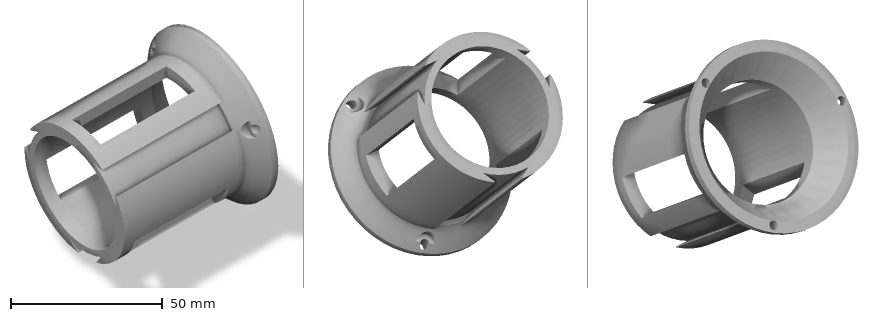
import cadquery as cq
import math

TOTAL_LENGTH = 60.0
FLANGE_DIAMETER = 65.0
RIM_THICKNESS = 2.5
CONE_SMALL_DIAMETER = 50.0
SLEEVE_DIAMETER = 52.0
BORE_DIAMETER = 42.0

FEATURE_COUNT = 3
PITCH_ANGLE = 360.0 / FEATURE_COUNT

FIRST_SCREW_ANGLE = 30.0
SCREW_CIRCLE_RADIUS = 30.0
SCREW_DIAMETER = 3.2
SCREW_HEAD_DIAMETER = 6.5
SCREW_SEAT_HEIGHT = 5.2

FIRST_WINDOW_ANGLE = 90.0
WINDOW_WIDTH = 15.0
WINDOW_LENGTH = 40.0
WINDOW_START = 15.0

FIRST_GROOVE_ANGLE = 45.0
GROOVE_FLOOR_DIAMETER = 46.8
GROOVE_NECK_WIDTH = 10.0
GROOVE_FLANK_OFFSET = 21.4

CONE_HEIGHT = (FLANGE_DIAMETER - CONE_SMALL_DIAMETER) / 2
FLANGE_HEIGHT = RIM_THICKNESS + CONE_HEIGHT
FLANGE_WALL = (CONE_SMALL_DIAMETER - BORE_DIAMETER) / 2
FLARE_DIAMETER = FLANGE_DIAMETER - 2 * FLANGE_WALL


def end_plane(height=0.0):
    """Sketch plane across the axis: local x = X, local y = Z, extrusion towards -Y."""
    return cq.Workplane("XZ", origin=(0, -height, 0))


def spread(shape, first_angle):
    """Copies of a shape made at angle zero (+X), evenly turned about the part axis."""
    copies = cq.Workplane()
    for index in range(FEATURE_COUNT):
        angle = first_angle + index * PITCH_ANGLE
        copies = copies.add(shape.rotate((0, 0, 0), (0, -1, 0), angle))
    return copies.combine()


def make_flange():
    """Rim and cone of the flange, still solid in the middle."""
    profile = (
        cq.Workplane("XY")
        .lineTo(FLANGE_DIAMETER / 2, 0)
        .lineTo(FLANGE_DIAMETER / 2, -RIM_THICKNESS)
        .lineTo(CONE_SMALL_DIAMETER / 2, -FLANGE_HEIGHT)
        .lineTo(0, -FLANGE_HEIGHT)
        .close()
    )
    return profile.revolve(360, (0, 0, 0), (0, 1, 0))


def make_flare():
    """Conical mouth that widens the bore towards the flange back."""
    profile = (
        cq.Workplane("XY")
        .lineTo(FLARE_DIAMETER / 2, 0)
        .lineTo(BORE_DIAMETER / 2, -FLANGE_HEIGHT)
        .lineTo(0, -FLANGE_HEIGHT)
        .close()
    )
    return profile.revolve(360, (0, 0, 0), (0, 1, 0))


def make_sleeve():
    return end_plane().circle(SLEEVE_DIAMETER / 2).extrude(TOTAL_LENGTH)


def make_groove():
    """Groove at angle zero: 45 degree flanks narrowing to a straight neck, outside the floor cylinder."""
    apex = GROOVE_FLANK_OFFSET * math.sqrt(2)
    neck_half = GROOVE_NECK_WIDTH / 2
    base = apex / 2
    neck_start = apex - neck_half
    outside = SLEEVE_DIAMETER / 2 + neck_half
    profile = (
        end_plane()
        .moveTo(base, base)
        .lineTo(neck_start, neck_half)
        .lineTo(outside, neck_half)
        .lineTo(outside, -neck_half)
        .lineTo(neck_start, -neck_half)
        .lineTo(base, -base)
        .close()
        .extrude(TOTAL_LENGTH)
    )
    core = end_plane().circle(GROOVE_FLOOR_DIAMETER / 2).extrude(TOTAL_LENGTH)
    return profile.cut(core)


def make_window():
    reach = SLEEVE_DIAMETER / 2
    return (
        end_plane(WINDOW_START)
        .center(reach / 2, 0)
        .rect(reach, WINDOW_WIDTH)
        .extrude(WINDOW_LENGTH)
    )


def make_screw_hole():
    hole = (
        end_plane()
        .center(SCREW_CIRCLE_RADIUS, 0)
        .circle(SCREW_DIAMETER / 2)
        .extrude(FLANGE_HEIGHT)
    )
    head_clearance = (
        end_plane(SCREW_SEAT_HEIGHT)
        .center(SCREW_CIRCLE_RADIUS, 0)
        .circle(SCREW_HEAD_DIAMETER / 2)
        .extrude(FLANGE_HEIGHT - SCREW_SEAT_HEIGHT)
    )
    return hole.union(head_clearance)


sleeve = make_sleeve().cut(spread(make_groove(), FIRST_GROOVE_ANGLE))
sleeve = sleeve.cut(spread(make_window(), FIRST_WINDOW_ANGLE))
bore = end_plane().circle(BORE_DIAMETER / 2).extrude(TOTAL_LENGTH)

result = make_flange().union(sleeve).cut(bore)
result = result.cut(make_flare())
result = result.cut(spread(make_screw_hole(), FIRST_SCREW_ANGLE))